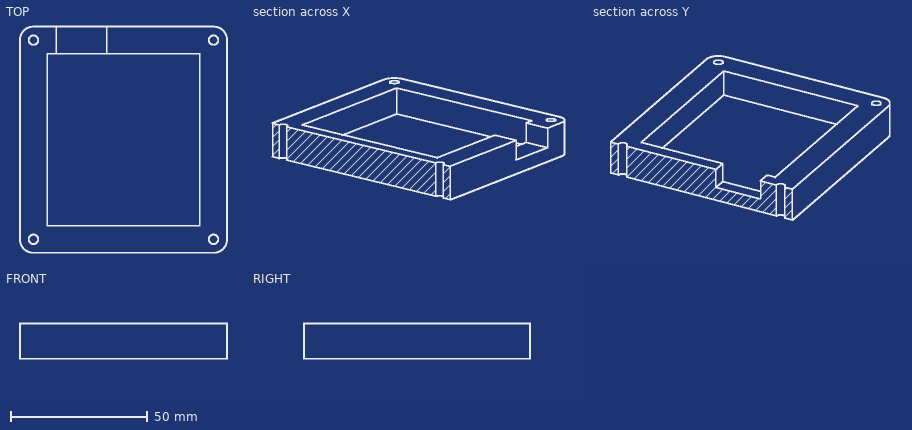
import cadquery as cq

LENGTH_X = 76.0
LENGTH_Y = 83.0
HEIGHT = 13.0
CORNER_RADIUS = 5.0

WALL = 10.0
POCKET_DEPTH = 10.0

NOTCH_WIDTH = 18.5
NOTCH_OFFSET = 13.4
NOTCH_DEPTH = 7.5

HOLE_DIAMETER = 3.4


def make_block():
    """Block centred on X and Y, standing on Z = 0, with rounded vertical edges."""
    block = cq.Workplane("XY").box(LENGTH_X, LENGTH_Y, HEIGHT, centered=(True, True, False))
    return block.edges("|Z").fillet(CORNER_RADIUS)


def cut_pocket(body):
    """Sink the rectangular pocket from the top face, leaving an even wall."""
    pocket_x = LENGTH_X - 2 * WALL
    pocket_y = LENGTH_Y - 2 * WALL
    pocket = (
        cq.Workplane("XY")
        .workplane(offset=HEIGHT - POCKET_DEPTH)
        .rect(pocket_x, pocket_y)
        .extrude(POCKET_DEPTH)
    )
    return body.cut(pocket)


def cut_notch(body):
    """Cut the notch in the +Y wall down from the top face."""
    centre_x = -LENGTH_X / 2 + NOTCH_OFFSET + NOTCH_WIDTH / 2
    centre_y = LENGTH_Y / 2 - WALL / 2
    notch = (
        cq.Workplane("XY")
        .workplane(offset=HEIGHT - NOTCH_DEPTH)
        .center(centre_x, centre_y)
        .rect(NOTCH_WIDTH, WALL)
        .extrude(NOTCH_DEPTH)
    )
    return body.cut(notch)


def cut_holes(body):
    """Drill a through hole at the centre of each corner arc."""
    spacing_x = LENGTH_X - 2 * CORNER_RADIUS
    spacing_y = LENGTH_Y - 2 * CORNER_RADIUS
    holes = (
        cq.Workplane("XY")
        .rect(spacing_x, spacing_y, forConstruction=True)
        .vertices()
        .circle(HOLE_DIAMETER / 2)
        .extrude(HEIGHT)
    )
    return body.cut(holes)


result = cut_holes(cut_notch(cut_pocket(make_block())))